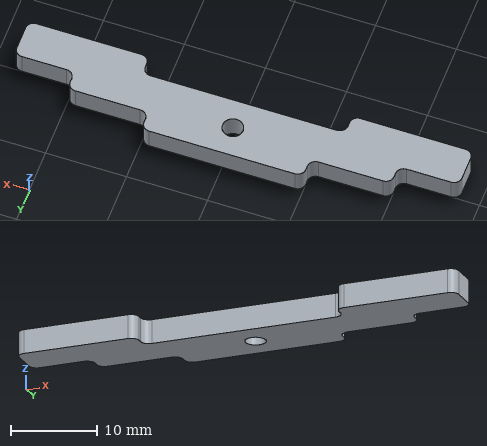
import cadquery as cq

thickness = 3.0
step_height = 2.5
arm_span = 55.0
middle_tier_width = 40.0
top_tier_width = 20.0
notch_width = 25.0
corner_radius = 1.0
hole_diameter = 2.5

notch_level = step_height
arm_level = 2 * step_height
middle_level = 3 * step_height
top_level = 4 * step_height
hole_level = (arm_level + middle_level) / 2


def stepped_plate():
    """Plate symmetric about X = 0, with tiers on its upper edge and a notch below."""
    right_half = [
        (notch_width / 2, notch_level),
        (notch_width / 2, 0),
        (arm_span / 2, 0),
        (arm_span / 2, arm_level),
        (middle_tier_width / 2, arm_level),
        (middle_tier_width / 2, middle_level),
        (top_tier_width / 2, middle_level),
        (top_tier_width / 2, top_level),
    ]
    left_half = [(-x, y) for x, y in reversed(right_half)]
    plate = cq.Workplane("XY").polyline(right_half + left_half).close().extrude(thickness)
    return plate.edges("|Z").fillet(corner_radius)


def centre_hole():
    """Cylinder that cuts the through hole on the plate's centre line."""
    return (
        cq.Workplane("XY")
        .center(0, hole_level)
        .circle(hole_diameter / 2)
        .extrude(thickness)
    )


result = stepped_plate().cut(centre_hole())